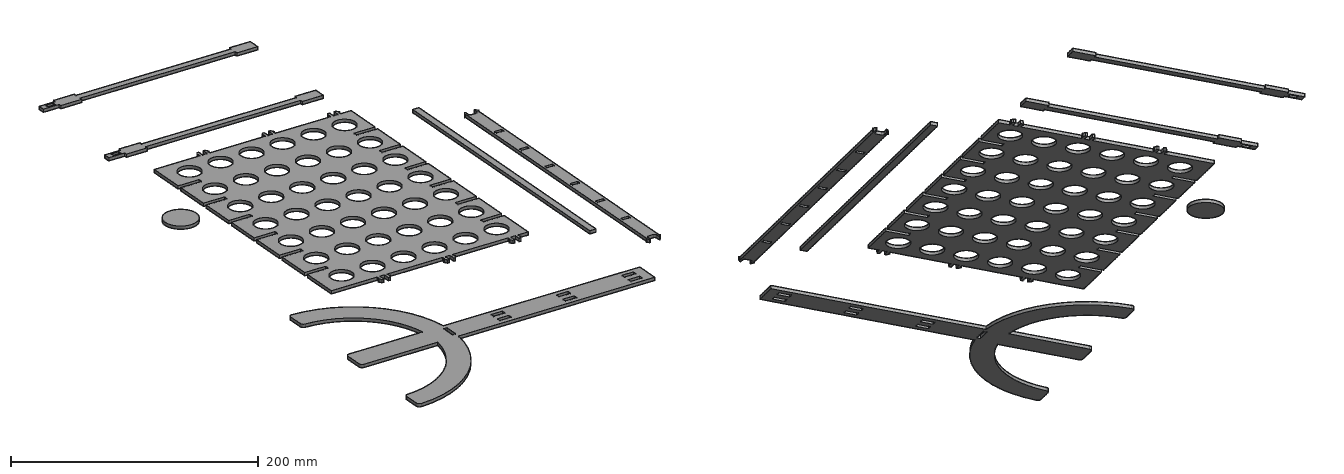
import cadquery as cq
import math


sheet_thickness = 3.0
layout_length = 615.0
layout_width = 330.0
right_edge = layout_length / 2
left_edge = -right_edge
back_edge = layout_width / 2
front_edge = -back_edge

columns = 7
rows = 6
board_length = 259.5
board_height = 190.5
board_left = -160.0
board_top = 79.0
column_pitch = board_length / columns
window_diameter = 20.0
window_rows_span = 150.0
row_pitch = window_rows_span / (rows - 1)
top_window_offset = 18.5
divider_slot_width = 3.5
divider_slot_depth = 20.0

clip_length = 5.85
barb_start = 3.0
clip_tip_taper = 2.0
clip_rows = 3
clip_row_pitch = 63.5
board_clip_middle = 0.5
board_clip_width = 10.0
board_clip_gap = 4.0
board_clip_barb_width = 11.5

strip_left = -100.0
strip_width = 12.0
strip_clip_gap = 8.3
strip_barb_width = 14.0
strip_middle = back_edge - strip_barb_width / 2
strip_slot_width = 3.0
strip_slot_length = 7.15
strip_root_radius = 2.0

bar_left = -134.0
bar_middle = 124.0
bar_width = 6.0

divider_pad_width = 11.0
divider_stem_width = bar_width
divider_tip_length = 15.5
divider_eye_width = 3.0
divider_eye_length = 7.2
divider_eye_offset = 2.75
divider_spacing = 101.5
divider_step = 3.5
divider_places = [
    (left_edge + divider_pad_width / 2, board_top),
    (left_edge + divider_pad_width / 2 + divider_spacing, board_top - divider_step),
]

disc_diameter = 30.0
disc_center = (-76.0, -141.5)

foot_outer_radius = 190.0 / 2
foot_inner_radius = 150.0 / 2
foot_corner_radius = 3.0
corner_center_radius = foot_outer_radius - foot_corner_radius
foot_reach = math.sqrt(corner_center_radius**2 - foot_corner_radius**2) + foot_corner_radius
stand_middle = right_edge - foot_reach
post_width = 22.0
post_top = 119.5
post_slot_width = 3.5
post_slot_length = 11.0
post_slot_spacing = 9.0
post_top_slot_middle = 104.5
strip_socket_width = 13.0
strip_socket_height = 3.0
strip_socket_middle = -72.0


def plate(x_min, x_max, y_min, y_max):
    """Rectangle of sheet between the given limits."""
    size_x = x_max - x_min
    size_y = y_max - y_min
    sheet = cq.Workplane("XY").box(size_x, size_y, sheet_thickness, centered=False)
    return sheet.translate((x_min, y_min, 0))


def plate_at(x, y, size_x, size_y):
    """Rectangle of sheet centered on a point."""
    return plate(x - size_x / 2, x + size_x / 2, y - size_y / 2, y + size_y / 2)


def clip_arm(edge_x, middle_y, outward, side, width, gap, barb_width):
    """One arm of a clip; outward is its direction along X and side its place along Y, each +1 or -1."""
    tip_x = edge_x + outward * clip_length
    barb_x = edge_x + outward * barb_start
    inner_y = middle_y + side * gap / 2
    neck_y = middle_y + side * width / 2
    tip_y = middle_y + side * (width - clip_tip_taper) / 2
    barb_y = middle_y + side * barb_width / 2
    return (
        cq.Workplane("XY")
        .moveTo(edge_x, inner_y)
        .lineTo(tip_x, inner_y)
        .lineTo(tip_x, tip_y)
        .lineTo(barb_x, barb_y)
        .lineTo(barb_x, neck_y)
        .lineTo(edge_x, neck_y)
        .close()
        .extrude(sheet_thickness)
    )


def add_clip(body, edge_x, middle_y, outward, width, gap, barb_width):
    """Body with both arms of one clip joined to it."""
    for side in (1, -1):
        body = body.union(clip_arm(edge_x, middle_y, outward, side, width, gap, barb_width))
    return body


def make_board():
    board_right = board_left + board_length
    board_bottom = board_top - board_height
    board = plate(board_left, board_right, board_bottom, board_top)

    windows = [
        (board_left + (column + 0.5) * column_pitch, board_top - top_window_offset - row * row_pitch)
        for column in range(columns)
        for row in range(rows)
    ]
    window_cutters = cq.Workplane("XY").pushPoints(windows).circle(window_diameter / 2)
    board = board.cut(window_cutters.extrude(sheet_thickness))

    for column in range(1, columns):
        slot_x = board_left + column * column_pitch
        for slot_y in (board_top - divider_slot_depth / 2, board_bottom + divider_slot_depth / 2):
            board = board.cut(plate_at(slot_x, slot_y, divider_slot_width, divider_slot_depth))

    for index in range(clip_rows):
        clip_y = board_clip_middle + (index - (clip_rows - 1) / 2) * clip_row_pitch
        for edge_x, outward in ((board_left, -1), (board_right, 1)):
            board = add_clip(
                board, edge_x, clip_y, outward, board_clip_width, board_clip_gap, board_clip_barb_width
            )
    return board


def make_strip():
    strip_right = strip_left + board_length
    strip = plate(strip_left, strip_right, strip_middle - strip_width / 2, strip_middle + strip_width / 2)
    for column in range(1, columns):
        slot_x = strip_left + column * column_pitch
        strip = strip.cut(plate_at(slot_x, strip_middle, strip_slot_width, strip_slot_length))

    root_reach = (strip_clip_gap + strip_width) / 4
    for edge_x, outward in ((strip_left, -1), (strip_right, 1)):
        strip = add_clip(strip, edge_x, strip_middle, outward, strip_width, strip_clip_gap, strip_barb_width)
        roots = cq.selectors.BoxSelector(
            (edge_x - strip_root_radius, strip_middle - root_reach, -sheet_thickness),
            (edge_x + strip_root_radius, strip_middle + root_reach, 2 * sheet_thickness),
        )
        strip = strip.edges("|Z").edges(roots).fillet(strip_root_radius)
    return strip


def make_bar():
    return plate(bar_left, bar_left + board_length, bar_middle - bar_width / 2, bar_middle + bar_width / 2)


def make_divider(middle_x, top_y):
    """Stem with a pad for each end of a board slot and a tip with an eye for the locking bar."""
    pads_bottom = top_y - board_height
    stem_left = middle_x - divider_stem_width / 2
    divider = plate(stem_left, stem_left + divider_stem_width, pads_bottom - divider_tip_length, top_y)
    for pad_y in (top_y - divider_slot_depth / 2, pads_bottom + divider_slot_depth / 2):
        divider = divider.union(plate_at(middle_x, pad_y, divider_pad_width, divider_slot_depth))
    eye_y = pads_bottom - divider_eye_offset - divider_eye_length / 2
    return divider.cut(plate_at(middle_x, eye_y, divider_eye_width, divider_eye_length))


def make_disc():
    return cq.Workplane("XY").center(*disc_center).circle(disc_diameter / 2).extrude(sheet_thickness)


def make_stand():
    foot = (
        cq.Workplane("XY")
        .center(stand_middle, front_edge)
        .moveTo(-foot_outer_radius, 0)
        .threePointArc((0, foot_outer_radius), (foot_outer_radius, 0))
        .lineTo(foot_inner_radius, 0)
        .threePointArc((0, foot_inner_radius), (-foot_inner_radius, 0))
        .close()
        .extrude(sheet_thickness)
    )
    post = plate(stand_middle - post_width / 2, stand_middle + post_width / 2, front_edge, post_top)
    foot = foot.edges("|Z").fillet(foot_corner_radius)
    post = post.edges("|Z and <Y").fillet(foot_corner_radius)
    stand = foot.union(post)

    for index in range(clip_rows):
        slot_y = post_top_slot_middle - index * clip_row_pitch
        for side in (-1, 1):
            slot_x = stand_middle + side * post_slot_spacing / 2
            stand = stand.cut(plate_at(slot_x, slot_y, post_slot_width, post_slot_length))

    socket = plate_at(stand_middle, strip_socket_middle, strip_socket_width, strip_socket_height)
    return stand.cut(socket)


board = make_board()
strip = make_strip()
bar = make_bar()
dividers = [make_divider(x, y) for x, y in divider_places]
disc = make_disc()
stand = make_stand()

result = cq.Compound.makeCompound(
    [board.val(), strip.val(), bar.val(), *[divider.val() for divider in dividers], disc.val(), stand.val()]
)